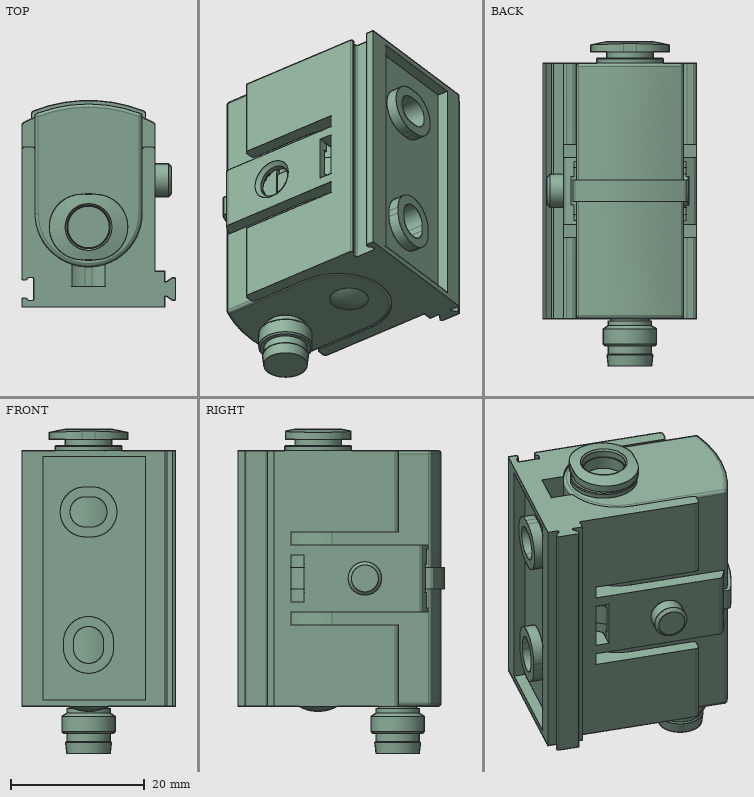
import cadquery as cq
import math


HEIGHT = 38.3
MID_Z = HEIGHT / 2
BRACKET_WIDTH = 19.95
HALF_WIDTH = BRACKET_WIDTH / 2
BUTTON_RISE = 3.2
CONNECTOR_DROP = 7.1

CASE_RADIUS = 8.0
CASE_ROUND_Y = 14.05
BACK_CENTRE_Y = 8.6
CASE_BACK_RADIUS = 21.8
CASE_FILLET = 0.5
RIB_HEIGHT = 0.55
RIB_WIDTH = 3.2

BUTTON_Y = 12.0
BUTTON_BASE_DIA = 10.0
BUTTON_BASE_TOP = 0.8
BUTTON_BASE_CHAMFER = 0.15
BUTTON_NECK_DIA = 7.0
CAP_BOTTOM = 1.65
CAP_EDGE_TOP = 2.7
CAP_LENGTH = 11.75
CAP_WIDTH = 9.8
CAP_MOUTH_DIA = 7.0
CAP_BORE_DIA = 6.5
CAP_BORE_DEPTH = 1.25
LOWER_BORE_DIA = 6.2

CONNECTOR_Y = 23.9
CONNECTOR_ROOT_DIA = 5.8
CONNECTOR_STEM_DIA = 6.5
CONNECTOR_RING_DIA = 8.0
CONNECTOR_TIP_DIA = 6.9
ROOT_END = 0.3
RING_CONE_START = 1.0
RING_START = 1.5
RING_END = 3.8
TIP_CONE_START = 5.25
TIP_START = 5.45
RING_BEVEL = 0.25
DOME_DIA = 5.8
DOME_HEIGHT = 0.8

WALL_TOP_Y = 24.0
WALL_FILLET = 0.5
ARM_BACK_RADIUS = 21.4
ARM_CORNER_Y = BACK_CENTRE_Y + math.sqrt(ARM_BACK_RADIUS**2 - HALF_WIDTH**2)
ARM_WIDTH = 10.0
SLOT_WIDTH = 1.95
SLOT_START_Y = 7.9
WINDOW_LENGTH = 2.0
WINDOW_HEIGHT = 7.0
RELIEF_DEPTH = 0.4
RELIEF_HEIGHT = 8.85
CHANNEL_DEPTH = 0.85
CHANNEL_HEIGHT = 4.3

PEG_Y = 19.0
PEG_DIA = 5.0
PEG_LENGTH = 2.5
PEG_CHAMFER = 0.5
HOLE_MOUTH_DIA = 6.2
DETENT_HEIGHT = 0.8
DETENT_CROWN_RADIUS = 21.85

FOOT_X = 11.4
FOOT_DEPTH = 5.4
RAIL_Y = 2.7
HEAD_HALF = 1.7
RAIL_NECK_HALF = 1.1
RAIL_NECK_LENGTH = 0.3
RAIL_LENGTH = 1.6
RAIL_TIP = 0.5
GROOVE_MOUTH_HALF = 1.3
GROOVE_LIP = 0.6
GROOVE_DEPTH = 1.75
GROOVE_POCKET = 0.8
DOVETAIL_FILLET = 0.2
MOUTH_FILLET = 0.25

RECESS_LEFT = -6.8
RECESS_RIGHT = 8.5
RECESS_MARGIN_Z = 0.9
RECESS_DEPTH = 1.7
PORT_OFFSET = 9.2
PORT_FLAT = 1.0
PORT_OUTER_DIA = 7.5
PORT_BORE_DIA = 4.5
PORT_DEPTH = 3.1
POCKET_WIDTH = 5.0


def case_outline(offset):
    """U-shaped case outline in the XY plane, moved outwards by the offset."""
    half = CASE_RADIUS + offset
    back_radius = CASE_BACK_RADIUS + offset
    corner_y = BACK_CENTRE_Y + math.sqrt(back_radius**2 - half**2)
    return (
        cq.Workplane("XY")
        .moveTo(-half, CASE_ROUND_Y)
        .threePointArc((0, CASE_ROUND_Y - half), (half, CASE_ROUND_Y))
        .lineTo(half, corner_y)
        .threePointArc((0, BACK_CENTRE_Y + back_radius), (-half, corner_y))
        .close()
    )


def case_block(offset, bottom, height):
    return case_outline(offset).extrude(height).translate((0, 0, bottom))


def rib_band():
    band = case_block(RIB_HEIGHT, MID_Z - RIB_WIDTH / 2, RIB_WIDTH)
    return band.edges("|Z").edges(">Y").fillet(CASE_FILLET)


def side_cylinder(diameter, start_x, length):
    """Cylinder along +X on the axis shared by the side hole and the peg."""
    return cq.Workplane("YZ", origin=(start_x, PEG_Y, MID_Z)).circle(diameter / 2).extrude(length)


def centred_box(x_width, y_start, y_end, z_centre, z_height):
    block = cq.Workplane("XY").box(x_width, y_end - y_start, z_height)
    return block.translate((0, (y_start + y_end) / 2, z_centre))


def full_width_box(y_start, y_end, z_centre, z_height):
    return centred_box(2 * FOOT_X, y_start, y_end, z_centre, z_height)


def revolved(profile, centre_y, base_z):
    """Turn a (radius, height) profile about a vertical axis."""
    shape = cq.Workplane("XZ").polyline(profile).close().revolve(360, (0, 0), (0, 1))
    return shape.translate((0, centre_y, base_z))



def button():
    base_r = BUTTON_BASE_DIA / 2
    neck_r = BUTTON_NECK_DIA / 2
    stem = revolved(
        [
            (0, 0),
            (base_r, 0),
            (base_r, BUTTON_BASE_TOP - BUTTON_BASE_CHAMFER),
            (base_r - BUTTON_BASE_CHAMFER, BUTTON_BASE_TOP),
            (neck_r, BUTTON_BASE_TOP),
            (neck_r, CAP_BOTTOM),
            (0, CAP_BOTTOM),
        ],
        BUTTON_Y, HEIGHT,
    )
    mouth_r = CAP_MOUTH_DIA / 2
    cone = revolved(
        [
            (0, CAP_BOTTOM),
            (CAP_LENGTH / 2, CAP_BOTTOM),
            (CAP_LENGTH / 2, CAP_EDGE_TOP),
            (mouth_r, BUTTON_RISE),
            (0, BUTTON_RISE),
        ],
        BUTTON_Y, HEIGHT,
    )
    obround = (
        cq.Workplane("XY", origin=(0, BUTTON_Y, HEIGHT))
        .slot2D(CAP_LENGTH, CAP_WIDTH)
        .extrude(BUTTON_RISE)
    )
    bore_r = CAP_BORE_DIA / 2
    lower_r = LOWER_BORE_DIA / 2
    step_z = BUTTON_RISE - CAP_BORE_DEPTH
    bore = revolved(
        [
            (0, 0),
            (lower_r, 0),
            (lower_r, step_z),
            (bore_r, step_z),
            (bore_r, BUTTON_RISE - (mouth_r - bore_r)),
            (mouth_r, BUTTON_RISE),
            (0, BUTTON_RISE),
        ],
        BUTTON_Y, HEIGHT,
    )
    return stem.union(cone.intersect(obround)).cut(bore)


def connector():
    root_r = CONNECTOR_ROOT_DIA / 2
    stem_r = CONNECTOR_STEM_DIA / 2
    ring_r = CONNECTOR_RING_DIA / 2
    tip_r = CONNECTOR_TIP_DIA / 2
    return revolved(
        [
            (0, 0),
            (root_r, 0),
            (root_r, -ROOT_END),
            (stem_r, -ROOT_END),
            (stem_r, -RING_CONE_START),
            (ring_r, -RING_START),
            (ring_r, -RING_END),
            (ring_r - RING_BEVEL, -RING_END - RING_BEVEL),
            (stem_r, -RING_END - RING_BEVEL),
            (stem_r, -TIP_CONE_START),
            (tip_r, -TIP_START),
            (stem_r, -CONNECTOR_DROP),
            (0, -CONNECTOR_DROP),
        ],
        CONNECTOR_Y, 0,
    )


def dome():
    dome_r = DOME_DIA / 2
    ball_r = (dome_r**2 + DOME_HEIGHT**2) / (2 * DOME_HEIGHT)
    ball = cq.Workplane("XY").sphere(ball_r).translate((0, BUTTON_Y, ball_r - DOME_HEIGHT))
    below = cq.Workplane("XY", origin=(0, BUTTON_Y, -DOME_HEIGHT)).circle(dome_r).extrude(DOME_HEIGHT)
    return ball.intersect(below)


def detent():
    """Crowned half disc that sits in the rear half of the side hole."""
    face_x = -CASE_RADIUS - DETENT_HEIGHT
    disc = side_cylinder(PEG_DIA, face_x, DETENT_HEIGHT)
    crown = (
        cq.Workplane("XZ", origin=(face_x + DETENT_CROWN_RADIUS, PEG_Y, MID_Z))
        .circle(DETENT_CROWN_RADIUS)
        .extrude(-PEG_DIA)
    )
    return disc.intersect(crown)


def make_sensor():
    case = case_block(0, 0, HEIGHT).edges().fillet(CASE_FILLET)
    return case.union(rib_band()).union(button()).union(connector()).union(dome()).union(detent())



def bracket_block():
    return (
        cq.Workplane("XY")
        .moveTo(-HALF_WIDTH, 0)
        .lineTo(FOOT_X, 0)
        .lineTo(FOOT_X, FOOT_DEPTH)
        .lineTo(HALF_WIDTH, FOOT_DEPTH)
        .lineTo(HALF_WIDTH, ARM_CORNER_Y)
        .threePointArc((0, BACK_CENTRE_Y + ARM_BACK_RADIUS), (-HALF_WIDTH, ARM_CORNER_Y))
        .close()
        .extrude(HEIGHT)
    )


def fillet_vertical_edges(shape, x_min, x_max, y_min, y_max, radius):
    """Round the vertical edges whose middles lie in the given XY range."""
    margin = 0.05
    nearby = cq.selectors.BoxSelector(
        (x_min - margin, y_min - margin, -margin), (x_max + margin, y_max + margin, HEIGHT + margin)
    )
    return shape.edges("|Z").edges(nearby).fillet(radius)


def cut_arms(bracket):
    """Free the spring arms with slots, cut the window and relieve the inner arm faces."""
    back_y = BACK_CENTRE_Y + CASE_BACK_RADIUS
    end_height = (HEIGHT - ARM_WIDTH) / 2
    for z_centre in (end_height / 2, HEIGHT - end_height / 2):
        bracket = bracket.cut(full_width_box(WALL_TOP_Y, back_y, z_centre, end_height))
    bracket = fillet_vertical_edges(bracket, -FOOT_X, FOOT_X, WALL_TOP_Y, WALL_TOP_Y, WALL_FILLET)
    bracket = fillet_vertical_edges(bracket, -FOOT_X, FOOT_X, ARM_CORNER_Y, ARM_CORNER_Y, WALL_FILLET)
    slot_shift = (ARM_WIDTH + SLOT_WIDTH) / 2
    for z_centre in (MID_Z - slot_shift, MID_Z + slot_shift):
        bracket = bracket.cut(full_width_box(SLOT_START_Y, back_y, z_centre, SLOT_WIDTH))
    window = full_width_box(SLOT_START_Y, SLOT_START_Y + WINDOW_LENGTH, MID_Z, WINDOW_HEIGHT)
    bracket = bracket.cut(window)
    window_end_y = SLOT_START_Y + WINDOW_LENGTH
    for depth, height in ((RELIEF_DEPTH, RELIEF_HEIGHT), (CHANNEL_DEPTH, CHANNEL_HEIGHT)):
        relief = centred_box(2 * (CASE_RADIUS + depth), window_end_y, back_y, MID_Z, height)
        bracket = bracket.cut(relief)
    return bracket


def side_hole():
    depth = HALF_WIDTH - CASE_RADIUS
    chamfer = (HOLE_MOUTH_DIA - PEG_DIA) / 2
    mouth = cq.Solid.makeCone(
        HOLE_MOUTH_DIA / 2, PEG_DIA / 2, chamfer,
        pnt=cq.Vector(-HALF_WIDTH, PEG_Y, MID_Z), dir=cq.Vector(1, 0, 0),
    )
    return side_cylinder(PEG_DIA, -HALF_WIDTH, depth).union(cq.Workplane(mouth))


def peg():
    shaft = side_cylinder(PEG_DIA, HALF_WIDTH, PEG_LENGTH)
    return shaft.faces(">X").chamfer(PEG_CHAMFER)


def dovetail(start_x, neck_half, neck_length, tip, length):
    """Dovetail along Z that starts as a neck and widens towards +X."""
    upper = [(0, neck_half), (neck_length, neck_half), (length - tip, HEAD_HALF), (length, HEAD_HALF)]
    lower = [(x, -y) for x, y in reversed(upper)]
    prism = cq.Workplane("XY", origin=(start_x, RAIL_Y, 0)).polyline(upper + lower).close().extrude(HEIGHT)
    return prism.edges("|Z").edges(">X").fillet(DOVETAIL_FILLET)


def obround_along_y(diameter, turned, z_centre, start_y, depth):
    angle = 90 if turned else 0
    return (
        cq.Workplane("XZ", origin=(0, start_y, z_centre))
        .slot2D(diameter + PORT_FLAT, diameter, angle)
        .extrude(-depth)
    )


def cut_front(bracket):
    """Front recess with two ports, and the top pocket that opens into the upper port."""
    recess = (
        cq.Workplane("XY")
        .box(RECESS_RIGHT - RECESS_LEFT, RECESS_DEPTH, HEIGHT - 2 * RECESS_MARGIN_Z, centered=False)
        .translate((RECESS_LEFT, 0, RECESS_MARGIN_Z))
    )
    pocket = (
        cq.Workplane("XY")
        .box(POCKET_WIDTH, CASE_ROUND_Y - PORT_DEPTH, PORT_OFFSET, centered=False)
        .translate((-POCKET_WIDTH / 2, PORT_DEPTH, HEIGHT - PORT_OFFSET))
    )
    bracket = bracket.cut(recess).cut(pocket)
    for z_centre, turned in ((PORT_OFFSET, True), (HEIGHT - PORT_OFFSET, False)):
        collar = obround_along_y(PORT_OUTER_DIA, turned, z_centre, 0, RECESS_DEPTH)
        bore = obround_along_y(PORT_BORE_DIA, turned, z_centre, 0, PORT_DEPTH)
        chamber = obround_along_y(PORT_OUTER_DIA, turned, z_centre, PORT_DEPTH, CASE_ROUND_Y - PORT_DEPTH)
        bracket = bracket.union(collar).cut(bore).cut(chamber)
    return bracket


def make_bracket():
    rail = dovetail(FOOT_X, RAIL_NECK_HALF, RAIL_NECK_LENGTH, RAIL_TIP, RAIL_LENGTH)
    groove = dovetail(-HALF_WIDTH, GROOVE_MOUTH_HALF, GROOVE_LIP, GROOVE_POCKET, GROOVE_DEPTH)
    bracket = cut_front(bracket_block())
    bracket = bracket.cut(case_block(0, 0, HEIGHT))
    bracket = cut_arms(bracket)
    bracket = bracket.cut(rib_band()).cut(side_hole())
    bracket = bracket.union(peg()).union(rail).cut(groove)
    mouth_start = RAIL_Y - GROOVE_MOUTH_HALF
    mouth_end = RAIL_Y + GROOVE_MOUTH_HALF
    return fillet_vertical_edges(bracket, -HALF_WIDTH, -HALF_WIDTH, mouth_start, mouth_end, MOUTH_FILLET)


sensor = make_sensor()
bracket = make_bracket()
result = cq.Compound.makeCompound([sensor.solids().val(), bracket.solids().val()])